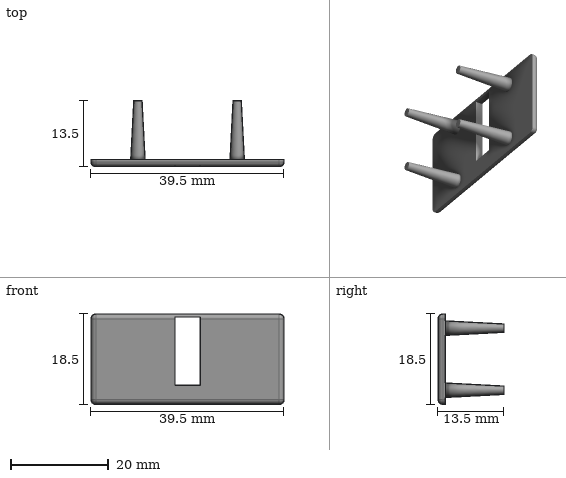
import cadquery as cq
import math

plate_length = 39.5
plate_height = 18.5
plate_thickness = 1.5
edge_radius = 1.0

window_width = 5.1
window_height = 13.9
window_top_margin = 0.65

peg_base_diameter = 3.0
peg_draft_angle = 3.0
peg_length = 12.0
peg_tip_diameter = peg_base_diameter - 2 * peg_length * math.tan(math.radians(peg_draft_angle))
peg_spacing_x = 20.3
peg_spacing_z = 12.7


def make_plate():
    """Plate with rounded corners and a rounded front rim."""
    plate = cq.Workplane("XY").box(
        plate_length, plate_thickness, plate_height, centered=(True, False, True)
    ).translate((0, -plate_thickness, 0))
    return plate.edges("|Y or <Y").fillet(edge_radius)


def make_window():
    """Cutting block for the window, set close to the top edge."""
    window_center_z = plate_height / 2 - window_top_margin - window_height / 2
    return cq.Workplane("XY").box(
        window_width, 2 * plate_thickness, window_height
    ).translate((0, -plate_thickness / 2, window_center_z))


def make_peg(x, z):
    """Round peg tapering from the back face toward +Y."""
    peg = cq.Solid.makeCone(
        peg_base_diameter / 2,
        peg_tip_diameter / 2,
        peg_length,
        pnt=cq.Vector(x, 0, z),
        dir=cq.Vector(0, 1, 0),
    )
    return cq.Workplane(obj=peg)


result = make_plate().cut(make_window())
for side_x in (-1, 1):
    for side_z in (-1, 1):
        result = result.union(make_peg(side_x * peg_spacing_x / 2, side_z * peg_spacing_z / 2))